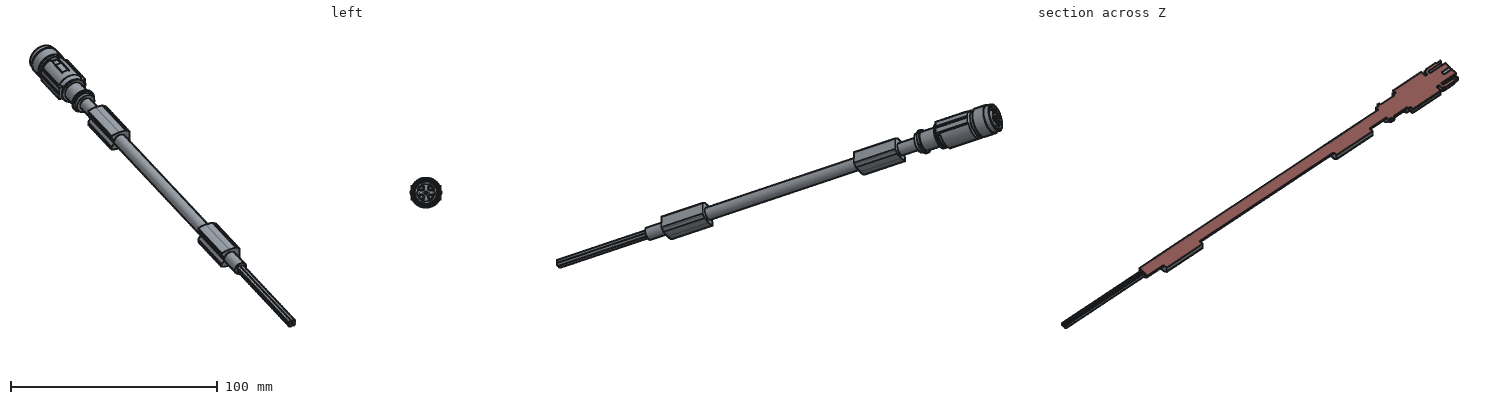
import cadquery as cq


total_length = 244.0
overall_width = 15.0

nose_radius = 4.1
nut_start = 1.0
nut_radius = 6.8
nut_band_start = 3.7
nut_band_end = 9.8
nut_band_radius = 7.3
nut_end = 11.2
nut_bore_radius = 5.4
nut_bore_depth = 8.5
nut_bore_chamfer = 0.7
neck_radius = 4.5

socket_radius = 1.0
socket_offset = 2.2
socket_depth = 4.9
socket_mouth_radius = 1.35
socket_mouth_depth = 0.5
centre_socket_radius = 0.7

grip_start = 12.5
grip_radius = 7.0
grip_taper_start = 28.3
grip_end = 30.2
grip_end_radius = 5.5
wing_width = 6.8
wing_span = 14.5
wing_rib_width = 0.7

pocket_width = 3.7
pocket_end = 24.0
pocket_depth = 0.7
pocket_step_end = 16.5
pocket_step_depth = 1.5

flange_start = 31.0
flange_end = 31.7
flange_radius = 6.3
sleeve_radius = 4.9
ring_start = 40.2
ring_end = 41.5
ring_radius = 5.9
sleeve_end = 43.5

cable_radius = 3.2
cable_end = 194.0
wire_radius = 0.88
wire_offset = 0.85

marker_length = 23.0
marker_starts = (53.7, 160.7)
marker_half_height = 4.9
marker_front = -4.6
marker_back = 5.4
marker_split = -0.37
marker_crown_back = 3.3
marker_crown_height = 4.6
marker_ledge_back = 4.75
marker_ledge_height = 3.7
marker_back_half_height = 3.2
lip_outer_half_height = 4.1
lip_inner_half_height = 2.55
groove_half_height = 0.7
groove_bottom = -3.2


def bar_along_x(start, end, radius, y=0.0, z=0.0):
    """Cylinder parallel to X."""
    return cq.Workplane("YZ", origin=(start, y, z)).circle(radius).extrude(end - start)


def block(start, end, width, z_low, z_high):
    """Box centred on Y between two X stations and two heights."""
    size = (end - start, width, z_high - z_low)
    box = cq.Workplane("XY").box(*size, centered=(False, True, False))
    return box.translate((start, 0, z_low))


def turned_body():
    """Nut, neck, grip core, rear sleeve and cable as one revolved outline."""
    outline = [
        (nut_start, 0),
        (nut_start, nut_radius),
        (nut_band_start, nut_radius),
        (nut_band_start, nut_band_radius),
        (nut_band_end, nut_band_radius),
        (nut_band_end, nut_radius),
        (nut_end, nut_radius),
        (nut_end, neck_radius),
        (grip_start, neck_radius),
        (grip_start, grip_radius),
        (grip_taper_start, grip_radius),
        (grip_end, grip_end_radius),
        (flange_start, grip_end_radius),
        (flange_start, flange_radius),
        (flange_end, flange_radius),
        (flange_end, sleeve_radius),
        (ring_start, sleeve_radius),
        (ring_start, ring_radius),
        (ring_end, ring_radius),
        (ring_end, sleeve_radius),
        (sleeve_end, sleeve_radius),
        (sleeve_end, cable_radius),
        (cable_end, cable_radius),
        (cable_end, 0),
    ]
    return cq.Workplane("XY").polyline(outline).close().revolve(360, (0, 0, 0), (1, 0, 0))


def nut_bore():
    """Blind bore in the front of the nut, with a chamfered mouth."""
    bore_end = nut_start + nut_bore_depth
    outline = [
        (nut_start, 0),
        (nut_start, nut_bore_radius + nut_bore_chamfer),
        (nut_start + nut_bore_chamfer, nut_bore_radius),
        (bore_end, nut_bore_radius),
        (bore_end, 0),
    ]
    return cq.Workplane("XY").polyline(outline).close().revolve(360, (0, 0, 0), (1, 0, 0))


def contact_insert():
    """Insert with four counterbored sockets around a centre socket."""
    insert = bar_along_x(0, nut_start + nut_bore_depth, nose_radius)
    for y in (-socket_offset, socket_offset):
        for z in (-socket_offset, socket_offset):
            insert = insert.cut(bar_along_x(0, socket_depth, socket_radius, y, z))
            insert = insert.cut(bar_along_x(0, socket_mouth_depth, socket_mouth_radius, y, z))
    return insert.cut(bar_along_x(0, socket_depth, centre_socket_radius))


def grip_wings():
    """Flat wings on both sides of the grip, each with a narrow centre rib."""
    wings = block(grip_start, grip_end, wing_span, -wing_width / 2, wing_width / 2)
    ribs = block(grip_start, grip_end, overall_width, -wing_rib_width / 2, wing_rib_width / 2)
    return wings.union(ribs)


def grip_pocket():
    """Stepped pocket in the top of the grip, open toward the nut."""
    floor = grip_radius - pocket_depth
    step_floor = grip_radius - pocket_step_depth
    pocket = block(grip_start, pocket_end, pocket_width, floor, nut_band_radius)
    step = block(grip_start, pocket_step_end, pocket_width, step_floor, nut_band_radius)
    return pocket.union(step)


def cable_marker(start):
    """Marker with crowned top and bottom, bevelled back and a V groove along its front."""
    crown_mid = (marker_split + marker_crown_back) / 2
    front_mid = (marker_split + marker_front) / 2
    back_sag = (marker_half_height - marker_crown_height) / 4
    front_sag = (marker_half_height - lip_outer_half_height) / 4
    back_mid_height = marker_half_height - back_sag
    front_mid_height = marker_half_height - front_sag
    profile = (
        cq.Workplane("YZ", origin=(start, 0, 0))
        .moveTo(marker_back, -marker_back_half_height)
        .lineTo(marker_back, marker_back_half_height)
        .lineTo(marker_ledge_back, marker_ledge_height)
        .lineTo(marker_crown_back, marker_crown_height)
        .threePointArc((crown_mid, back_mid_height), (marker_split, marker_half_height))
        .threePointArc((front_mid, front_mid_height), (marker_front, lip_outer_half_height))
        .lineTo(marker_front, lip_inner_half_height)
        .lineTo(groove_bottom, groove_half_height)
        .lineTo(groove_bottom, -groove_half_height)
        .lineTo(marker_front, -lip_inner_half_height)
        .lineTo(marker_front, -lip_outer_half_height)
        .threePointArc((front_mid, -front_mid_height), (marker_split, -marker_half_height))
        .threePointArc((crown_mid, -back_mid_height), (marker_crown_back, -marker_crown_height))
        .lineTo(marker_ledge_back, -marker_ledge_height)
        .close()
    )
    return profile.extrude(marker_length)


def wire_bundle():
    """Four bare wires in a square, slightly merged along their contact lines."""
    bundle = cq.Workplane("XY")
    for y in (-wire_offset, wire_offset):
        for z in (-wire_offset, wire_offset):
            bundle = bundle.union(bar_along_x(cable_end, total_length, wire_radius, y, z))
    return bundle


result = turned_body().cut(nut_bore()).union(contact_insert())
result = result.union(grip_wings()).cut(grip_pocket())
for marker_start in marker_starts:
    result = result.union(cable_marker(marker_start))
result = result.union(wire_bundle())